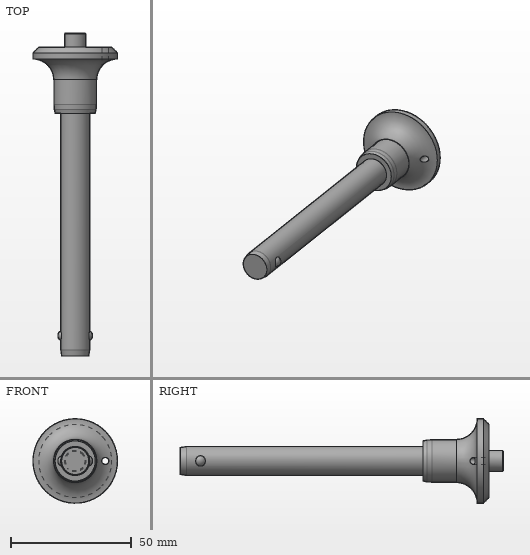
import cadquery as cq

total_length = 133.8

button_radius = 4.4
button_height = 5.9
button_chamfer = 0.4

rim_radius = 17.5
rim_chamfer = 2.4
rim_thickness = 5.0
rim_bottom = button_height + rim_thickness

neck_radius = 9.0
flare_radius = rim_radius - neck_radius
flare_end = rim_bottom + flare_radius

sleeve_radius = 8.8
sleeve_end = 33.3
sleeve_taper_start = 29.6
sleeve_taper_radius = 8.7
sleeve_chamfer_length = 1.6
sleeve_end_radius = 8.3

shank_radius = 6.0
tip_radius = 5.6
tip_length = 2.5

ball_radius = 2.3
ball_reach = 7.2
ball_from_tip = 8.4

lanyard_hole_diameter = 2.8
lanyard_hole_offset = 12.5


def make_body():
    """Revolve the half outline of button, handle, sleeve and shank about Y."""
    diagonal = flare_radius * 0.5**0.5
    flare_middle = (rim_radius - diagonal, -(flare_end - diagonal))
    return (
        cq.Workplane("XY")
        .moveTo(0, 0)
        .lineTo(button_radius - button_chamfer, 0)
        .lineTo(button_radius, -button_chamfer)
        .lineTo(button_radius, -button_height)
        .lineTo(rim_radius - rim_chamfer, -button_height)
        .lineTo(rim_radius, -(button_height + rim_chamfer))
        .lineTo(rim_radius, -rim_bottom)
        .threePointArc(flare_middle, (neck_radius, -flare_end))
        .lineTo(sleeve_radius, -flare_end)
        .lineTo(sleeve_radius, -sleeve_taper_start)
        .lineTo(sleeve_taper_radius, -(sleeve_end - sleeve_chamfer_length))
        .lineTo(sleeve_end_radius, -sleeve_end)
        .lineTo(shank_radius, -sleeve_end)
        .lineTo(shank_radius, -(total_length - tip_length))
        .lineTo(tip_radius, -total_length)
        .lineTo(0, -total_length)
        .close()
        .revolve(360, (0, 0, 0), (0, 1, 0))
    )


def make_ball(side):
    """Locking ball protruding from the shank; side is +1 or -1 along X."""
    center = (side * (ball_reach - ball_radius), ball_from_tip - total_length, 0)
    return cq.Workplane("XY").sphere(ball_radius).translate(center)


def make_lanyard_hole():
    """Cutter parallel to the pin axis, passing through the handle rim."""
    return (
        cq.Workplane("XZ")
        .center(lanyard_hole_offset, 0)
        .circle(lanyard_hole_diameter / 2)
        .extrude(flare_end)
    )


result = make_body().cut(make_lanyard_hole())
for side in (-1, 1):
    result = result.union(make_ball(side))